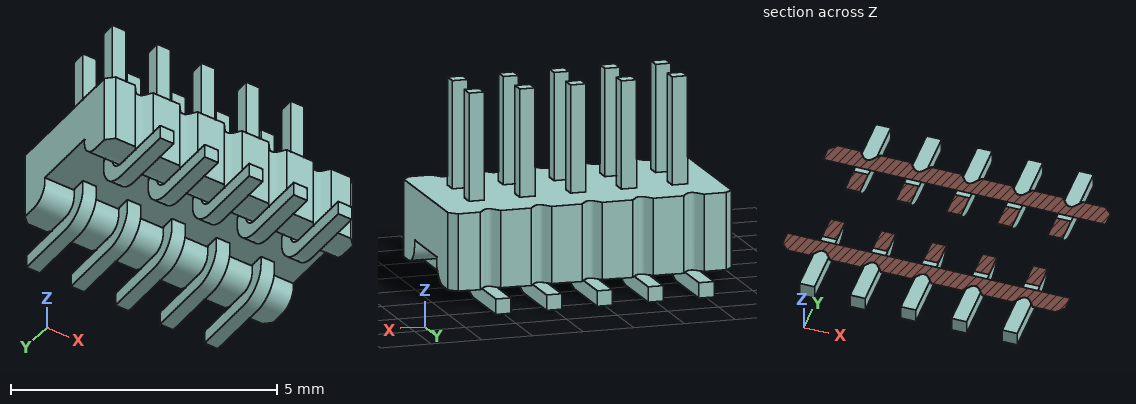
import cadquery as cq
import math

BODY_LENGTH = 5.6
BODY_WIDTH = 3.0
BODY_HEIGHT = 1.5
CORNER_CHAMFER = 0.15

CHANNEL_WIDTH = 1.345
CHANNEL_HEIGHT = 0.48
CHANNEL_MOUTH_RADIUS = 0.38

GROOVE_WIDTH = 0.405
GROOVE_DEPTH = 0.195
GROOVE_ROUND_RADIUS = 0.1
GROOVE_ROUND_WIDTH = 0.16

PIN_COUNT = 5
PIN_PITCH = 1.0
PIN_ROW_SPACING = PIN_PITCH
PIN_SIZE = 0.3
PIN_TOP = 3.595
PIN_BEND_RADIUS = 0.29
FOOT_SPAN = 4.55

pin_positions = [(i - (PIN_COUNT - 1) / 2) * PIN_PITCH for i in range(PIN_COUNT)]


def make_body():
    block = cq.Workplane("XY").box(
        BODY_LENGTH, BODY_WIDTH, BODY_HEIGHT, centered=(True, True, False)
    )
    return block.edges("|Z").chamfer(CORNER_CHAMFER)


def make_channel():
    """Rectangular channel whose lower edges flare out in quarter rounds."""
    half_width = CHANNEL_WIDTH / 2
    mouth = half_width + CHANNEL_MOUTH_RADIUS
    return (
        cq.Workplane("YZ")
        .moveTo(-mouth, 0)
        .radiusArc((-half_width, CHANNEL_MOUTH_RADIUS), -CHANNEL_MOUTH_RADIUS)
        .lineTo(-half_width, CHANNEL_HEIGHT)
        .lineTo(half_width, CHANNEL_HEIGHT)
        .lineTo(half_width, CHANNEL_MOUTH_RADIUS)
        .radiusArc((mouth, 0), -CHANNEL_MOUTH_RADIUS)
        .close()
        .extrude(BODY_LENGTH / 2, both=True)
    )


def make_groove(x):
    """Cutter for the groove in the -Y wall at the given X."""
    wall = -BODY_WIDTH / 2
    half_mouth = GROOVE_WIDTH / 2
    half_round = GROOVE_ROUND_WIDTH / 2
    round_rise = GROOVE_ROUND_RADIUS - math.sqrt(GROOVE_ROUND_RADIUS**2 - half_round**2)
    tip = wall + GROOVE_DEPTH
    round_start = tip - round_rise
    return (
        cq.Workplane("XY")
        .moveTo(x - half_mouth, wall)
        .lineTo(x - half_round, round_start)
        .threePointArc((x, tip), (x + half_round, round_start))
        .lineTo(x + half_mouth, wall)
        .close()
        .extrude(BODY_HEIGHT)
    )


def make_pin(x):
    """Pin of the -Y row: upright post, quarter bend and foot on one profile."""
    inner = -PIN_ROW_SPACING / 2 + PIN_SIZE / 2
    outer = inner - PIN_SIZE
    outside_radius = PIN_BEND_RADIUS + PIN_SIZE
    foot_end = -FOOT_SPAN / 2
    return (
        cq.Workplane("YZ", origin=(x - PIN_SIZE / 2, 0, 0))
        .moveTo(foot_end, -PIN_SIZE)
        .lineTo(inner - outside_radius, -PIN_SIZE)
        .radiusArc((inner, PIN_BEND_RADIUS), -outside_radius)
        .lineTo(inner, PIN_TOP)
        .lineTo(outer, PIN_TOP)
        .lineTo(outer, PIN_BEND_RADIUS)
        .radiusArc((outer - PIN_BEND_RADIUS, 0), PIN_BEND_RADIUS)
        .lineTo(foot_end, 0)
        .close()
        .extrude(PIN_SIZE)
    )


result = make_body().cut(make_channel())
for pin_x in pin_positions:
    groove = make_groove(pin_x)
    result = result.cut(groove).cut(groove.mirror("XZ"))
for pin_x in pin_positions:
    pin = make_pin(pin_x)
    result = result.union(pin).union(pin.mirror("XZ"))